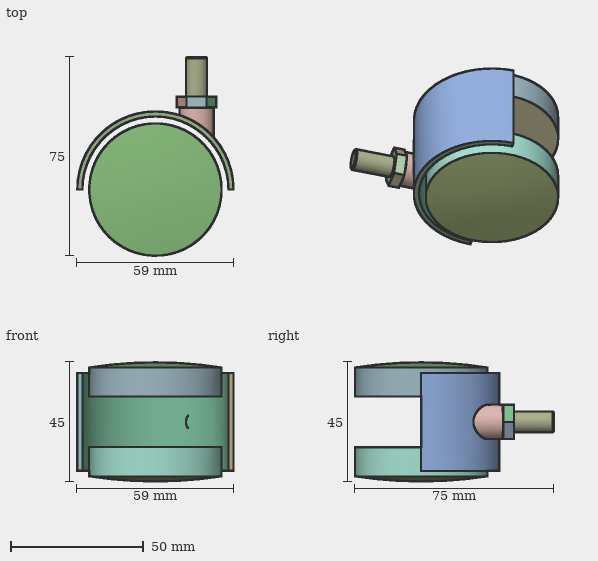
import cadquery as cq

wheel_diameter = 50.0
overall_height = 45.0
wheel_gap = 19.0
crown_height = 2.0

fender_outer_radius = 29.5
fender_thickness = 2.0
fender_height = 37.0

stem_offset = 15.5
boss_diameter = 13.0
boss_clearance = 0.2

stem_diameter = 8.0
stem_start = 25.0
stem_end = 50.0
stem_chamfer = 0.5
collar_across_corners = 15.0
collar_thickness = 4.0
thread_length = 15.0

wheel_radius = wheel_diameter / 2
wheel_inner_face = wheel_gap / 2
wheel_crown = overall_height / 2
wheel_rim = wheel_crown - crown_height
crown_radius = (wheel_radius**2 + crown_height**2) / (2 * crown_height)
fender_inner_radius = fender_outer_radius - fender_thickness
collar_end = stem_end - thread_length
collar_start = collar_end - collar_thickness
boss_end = collar_start - boss_clearance


def stem_section(start_y):
    """Sketch plane across the stem axis at the given Y, facing +Y."""
    origin = (stem_offset, start_y, 0)
    return cq.Workplane(cq.Plane(origin=origin, xDir=(1, 0, 0), normal=(0, 1, 0)))


def fender_cylinder(radius):
    """Cylinder about the wheel axis with the height of the fender."""
    return cq.Workplane("XY", origin=(0, 0, -fender_height / 2)).circle(radius).extrude(fender_height)


def make_wheel(side):
    """One wheel: a disc with a domed outer face, above (side = 1) or below (side = -1) the middle."""
    return (
        cq.Workplane("XZ")
        .moveTo(0, side * wheel_inner_face)
        .lineTo(wheel_radius, side * wheel_inner_face)
        .lineTo(wheel_radius, side * wheel_rim)
        .radiusArc((0, side * wheel_crown), -side * crown_radius)
        .close()
        .revolve(360, (0, 0), (0, 1))
    )


def make_fender():
    """Half-round wall with the stem boss on its outside and a blind hole for the stem."""
    boss = stem_section(0).circle(boss_diameter / 2).extrude(boss_end)
    back_half = cq.Workplane("XY").box(
        2 * fender_outer_radius,
        fender_outer_radius,
        fender_height,
        centered=(True, False, True),
    )
    wall = fender_cylinder(fender_outer_radius).intersect(back_half)
    stem_hole = stem_section(stem_start).circle(stem_diameter / 2).extrude(stem_end - stem_start)
    return wall.union(boss).cut(fender_cylinder(fender_inner_radius)).cut(stem_hole)


def make_stem():
    """Round stem, chamfered at its outer end, with a hexagon collar."""
    shaft = (
        stem_section(stem_start)
        .circle(stem_diameter / 2)
        .extrude(stem_end - stem_start)
        .faces(">Y")
        .chamfer(stem_chamfer)
    )
    collar = stem_section(collar_start).polygon(6, collar_across_corners).extrude(collar_thickness)
    return shaft.union(collar)


wheels = [make_wheel(side).val() for side in (1, -1)]
fender = make_fender()
stem = make_stem()

result = cq.Compound.makeCompound([*wheels, fender.val(), stem.val()])